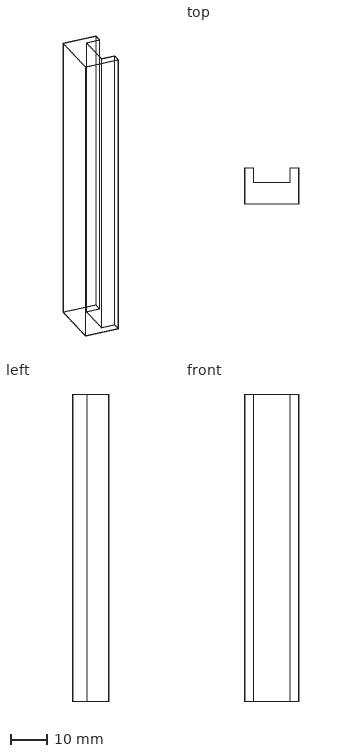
import cadquery as cq

width = 15.0
depth = 10.0
length = 85.0

wall_thickness = 2.5
groove_depth = 4.0
groove_width = width - 2 * wall_thickness


def make_bar():
    """Solid bar standing on Z = 0, centred on the Z axis."""
    return cq.Workplane("XY").box(width, depth, length, centered=(True, True, False))


def make_groove():
    """Rectangular cutter that opens through the +Y face."""
    groove_center_y = depth / 2 - groove_depth / 2
    return (
        cq.Workplane("XY")
        .center(0, groove_center_y)
        .rect(groove_width, groove_depth)
        .extrude(length)
    )


result = make_bar().cut(make_groove())